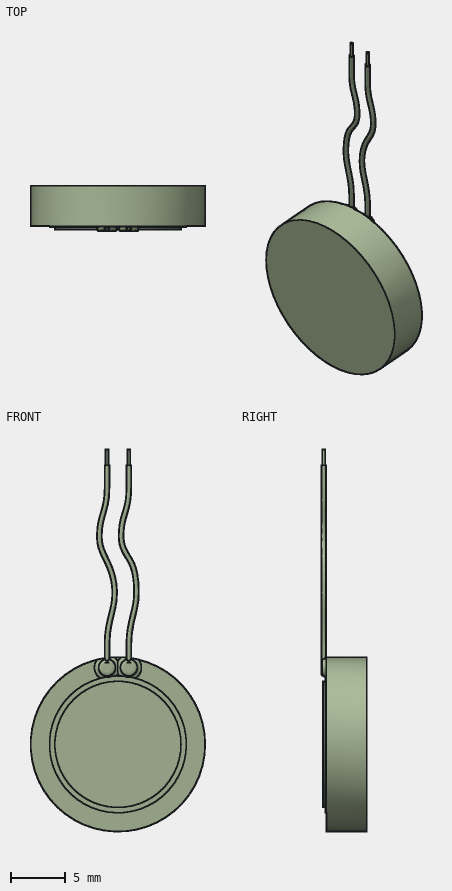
import cadquery as cq


case_diameter = 16.0
case_radius = case_diameter / 2
case_depth = 3.7
boss_radius = 6.25
boss_height = 0.1
pad_radius = 5.78
pad_thickness = 0.2

overall_height = 35.0
wire_diameter = 0.45
core_diameter = 0.28
wire_spacing = 2.0
wire_clearance = 0.018
wire_axis_y = -wire_clearance - wire_diameter / 2
wire_top_z = overall_height - case_radius
core_length = 1.47
sleeve_top_z = wire_top_z - core_length
bend_top_z = 23.5
bend_bottom_z = 9.05
bend_offset = 0.7
left_bend_z = 19.05
right_bend_z = 13.9
middle_z = 16.6
left_middle_offset = 0.07
right_middle_offset = 0.25

joint_z = 7.05
joint_height = 0.5
joint_top_radius = 0.45
joint_radius = 0.77
crown_height = 0.1
crown_middle_radius = 0.63
crown_middle_height = 0.45
flare_radius = joint_height - crown_height
joint_base_radius = joint_radius + flare_radius
wire_bottom_z = joint_z + joint_top_radius


def front_disc(radius, y_back, thickness):
    """Disc about the case axis, growing towards -Y from y_back."""
    return cq.Workplane("XZ", origin=(0, y_back, 0)).circle(radius).extrude(thickness)


def make_case():
    body = front_disc(case_radius, case_depth, case_depth)
    return body.union(front_disc(boss_radius, 0, boss_height))


def make_pad():
    return front_disc(pad_radius, -boss_height, pad_thickness)


def upright_rod(x, diameter, bottom_z, top_z):
    plane = cq.Workplane("XY", origin=(x, wire_axis_y, bottom_z))
    return plane.circle(diameter / 2).extrude(top_z - bottom_z)


def make_wire(x, middle_offset):
    """Insulated wire with an S-shaped bend and a bare core at the tip."""
    bend_points = [
        (x, bend_bottom_z),
        (x + bend_offset, right_bend_z),
        (x + middle_offset, middle_z),
        (x - bend_offset, left_bend_z),
        (x, bend_top_z),
    ]
    upright = (0, 1)
    tangents = [upright, upright, None, upright, upright]
    path = cq.Workplane("XZ", origin=(0, wire_axis_y, 0)).spline(
        bend_points, tangents=tangents
    )
    start = cq.Workplane("XY", origin=(x, wire_axis_y, bend_bottom_z))
    wire = start.circle(wire_diameter / 2).sweep(path)
    wire = wire.union(upright_rod(x, wire_diameter, wire_bottom_z, bend_bottom_z))
    wire = wire.union(upright_rod(x, wire_diameter, bend_top_z, sleeve_top_z))
    return wire.union(upright_rod(x, core_diameter, sleeve_top_z, wire_top_z))


def make_joint(side, case, wire):
    """Flared solder mound; side is -1 for the left joint and 1 for the right."""
    x = side * wire_spacing / 2
    shoulder_y = -flare_radius
    arc_reach = flare_radius * 0.5**0.5
    arc_middle = (joint_base_radius - arc_reach, shoulder_y + arc_reach)
    crown_middle = (crown_middle_radius, -crown_middle_height)
    mound = (
        cq.Workplane("XY")
        .lineTo(joint_base_radius, 0)
        .threePointArc(arc_middle, (joint_radius, shoulder_y))
        .threePointArc(crown_middle, (joint_top_radius, -joint_height))
        .lineTo(0, -joint_height)
        .close()
        .revolve(360, (0, 0, 0), (0, 1, 0))
        .translate((x, 0, joint_z))
    )
    side_block = cq.Workplane("XY").box(case_radius, case_radius, case_radius)
    mound = mound.intersect(side_block.translate((side * case_radius / 2, 0, joint_z)))
    mound = mound.intersect(front_disc(case_radius, 0, joint_height))
    return mound.cut(case).cut(wire)


case = make_case()
pad = make_pad()
wires = []
joints = []
for side, middle_offset in ((-1, left_middle_offset), (1, right_middle_offset)):
    wire = make_wire(side * wire_spacing / 2, middle_offset)
    wires.append(wire)
    joints.append(make_joint(side, case, wire))

result = cq.Compound.makeCompound(
    [body.solids().val() for body in [case, pad, *wires, *joints]]
)